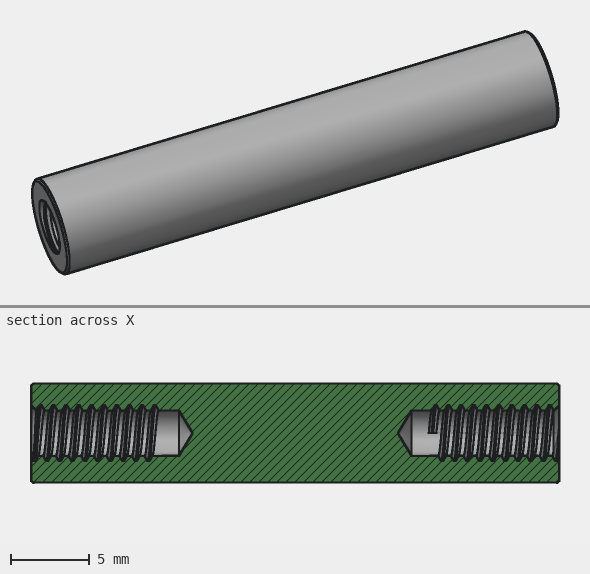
import cadquery as cq
import math

length = 33.53
body_diameter = 6.35
edge_chamfer = 0.15

minor_diameter = 2.85
major_diameter = 3.52
pitch = 0.8
thread_depth = 8.05
drill_depth = 9.4
drill_point_angle = 118.0
mouth_diameter = 3.55
root_flat = pitch / 8
flank_angle = 30.0
groove_overlap = 0.1


def make_body():
    """Solid rod centred on the origin with both rims chamfered."""
    back_face = cq.Plane(origin=(0, length / 2, 0), xDir=(0, 0, 1), normal=(0, -1, 0))
    rod = cq.Workplane(back_face).circle(body_diameter / 2).extrude(length)
    return rod.faces("<Y or >Y").chamfer(edge_chamfer)


def make_drilled_hole():
    """Drilled hole rising from Z = 0, with a countersunk mouth and a conical bottom."""
    drill_radius = minor_diameter / 2
    mouth_radius = mouth_diameter / 2
    mouth_depth = mouth_radius - drill_radius
    point_height = drill_radius / math.tan(math.radians(drill_point_angle / 2))
    return (
        cq.Workplane("XZ")
        .moveTo(0, 0)
        .lineTo(mouth_radius, 0)
        .lineTo(drill_radius, mouth_depth)
        .lineTo(drill_radius, drill_depth)
        .lineTo(0, drill_depth + point_height)
        .close()
        .revolve(360, (0, 0, 0), (0, 1, 0))
    )


def make_thread_groove():
    """Right-handed 60 degree V groove that starts one pitch outside the mouth."""
    inner_radius = minor_diameter / 2 - groove_overlap
    outer_radius = major_diameter / 2
    half_root = root_flat / 2
    half_mouth = half_root + (outer_radius - inner_radius) * math.tan(math.radians(flank_angle))
    helix = cq.Wire.makeHelix(pitch, thread_depth + pitch, inner_radius)
    groove = (
        cq.Workplane("XZ")
        .moveTo(inner_radius, -half_mouth)
        .lineTo(outer_radius, -half_root)
        .lineTo(outer_radius, half_root)
        .lineTo(inner_radius, half_mouth)
        .close()
        .sweep(cq.Workplane(obj=helix), isFrenet=True)
    )
    return groove.translate((0, 0, -pitch))


def place_at_front(shape):
    """Turn the hole axis onto +Y and move its mouth to the -Y end."""
    return shape.rotate((0, 0, 0), (1, 0, 0), -90).translate((0, -length / 2, 0))


drilled_hole = place_at_front(make_drilled_hole())
thread_groove = place_at_front(make_thread_groove())

result = make_body()
for end_angle in (0, 180):
    for cutter in (thread_groove, drilled_hole):
        result = result.cut(cutter.rotate((0, 0, 0), (0, 0, 1), end_angle))